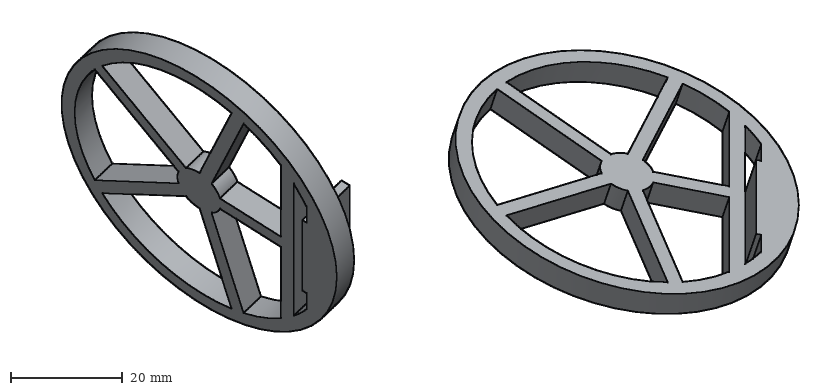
import cadquery as cq

outer_radius = 31.75
rim_width = 3.05
inner_radius = outer_radius - rim_width
total_depth = 10.0
thickness = total_depth / 2
hub_radius = 5.0

spoke_count = 5
spoke_width = 2.9
crossbar_start = 18.85
crossbar_end = crossbar_start + spoke_width

segment_start = 24.75
tab_depth = 0.95
tab_height = 20.0
block_end = 26.7
block_height = 25.0


def disc(radius):
    """Disc of the wheel's thickness, extending toward +Y."""
    return cq.Workplane("XZ").circle(radius).extrude(-thickness)


def bar(x_start, x_end, height, y_start, y_end):
    """Box centred on Z = 0 between the given X and Y limits."""
    return cq.Workplane("XY").box(
        x_end - x_start, y_end - y_start, height, centered=(False, False, True)
    ).translate((x_start, y_start, 0))


def spoke(index):
    """One radial spoke from the axis into the rim."""
    length = crossbar_start if index == 0 else inner_radius + rim_width / 2
    radial_bar = bar(0, length, spoke_width, 0, thickness)
    return radial_bar.rotate((0, 0, 0), (0, 1, 0), index * 360 / spoke_count)


web = disc(hub_radius)
for spoke_index in range(spoke_count):
    web = web.union(spoke(spoke_index))
web = web.union(bar(crossbar_start, crossbar_end, 2 * outer_radius, 0, thickness))
web = web.union(bar(segment_start, outer_radius, 2 * outer_radius, 0, thickness))
web = web.intersect(disc(outer_radius))

rim = disc(outer_radius).cut(disc(inner_radius))
wheel = rim.union(web)

tab = bar(segment_start - tab_depth, block_end, tab_height, 0, total_depth)
block = bar(segment_start, block_end, block_height, 0, total_depth)

result = wheel.union(tab).union(block)